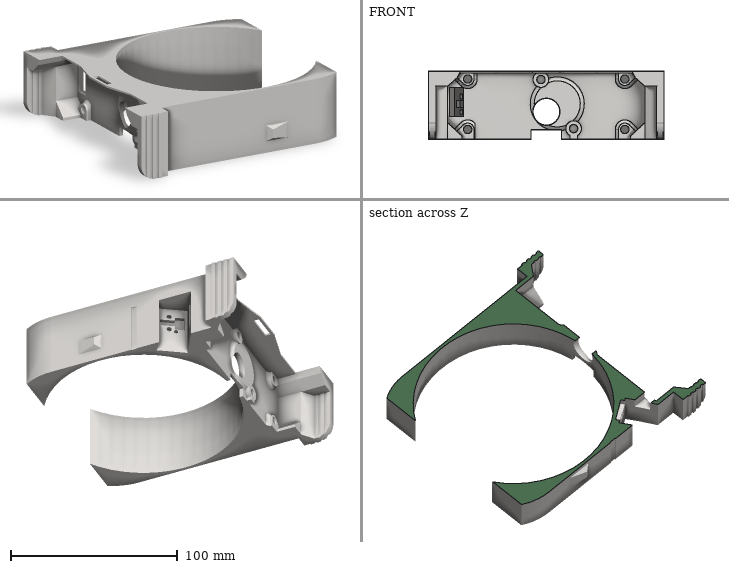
import cadquery as cq
import math


height = 40.9
length = 143.12
body_half_width = 62.0
rear_half_width = 57.0
rear_curve_start_y = 124.8
ring_radius = 60.0
ring_center_y = 92.5

leg_outer_x = 70.0
leg_inner_x = 66.2
leg_back_y = 18.8
leg_slant_end_y = 10.4
leg_tip_radius = 9.8
ridge_height = 0.7
ridge_width = 2.4
ridge_pitch = 4.07
ridge_count = 4
inner_groove_depth = 0.5
inner_groove_count = 2

lip_y = 15.8
recess_back_y = 30.8
lip_thickness = 1.1
lip_underside_z = height - lip_thickness
recess_half_width = 59.1
roof_z = 31.8
roof_bend_x = 53.3
roof_bend_z = 37.0
roof_edge_x = 51.3
floor_rib_x = 50.4
floor_rib_edge_z = 1.8
floor_rib_top_z = 10.0

tongue_y = 10.7
tongue_base_half_width = 30.0
tongue_tip_half_width = 10.0
tongue_slot_width = 16.6
tongue_slot_front_y = 12.4

boss_height = 3.0
slope_height = 1.8
boss_taper = 1.9
corner_boss_x = 47.1
corner_boss_low_z = 5.9
corner_boss_high_z = 36.1
corner_boss_radius = 5.7
corner_boss_run = 5.0
low_left_boss_side_x = -42.7
corner_hole_depth = 8.0
screw_hole_diameter = 5.0
dome_x = 6.6
dome_z = 21.2
dome_radius = 16.2
dome_taper = 2.4
upper_boss_x = -3.2
upper_boss_z = 35.8
lower_boss_x = 16.4
lower_boss_z = 6.4
round_boss_diameter = 9.4
boss_neck_width = 4.6
round_boss_hole_depth = 4.0

shaft_hole_diameter = 16.0
shaft_hole_x = 0.1
shaft_hole_z = 16.5
notch_half_width = 9.0
notch_height = 5.7

pocket_height = 31.1
pocket_rear = (-body_half_width, 53.4)
seat_rear = (-55.0, 57.9)
seat_front = (-44.8, 42.4)
pocket_bend = (-51.5, 38.1)
pocket_front = (-body_half_width, 32.0)
window_left_x = -57.9
window_right_x = -49.7
window_bottom_z = 13.8

seat_recess_depth = 2.5
seat_slot_start = 2.0
seat_slot_bottom_z = 19.0
seat_slot_top_z = 23.1
seat_head_start = 11.0
seat_head_end = 16.8
seat_head_bottom_z = 16.6
seat_head_top_z = 25.3
seat_hole_diameter = 3.1
seat_hole_distance = 7.4
seat_hole_heights = (16.4, 25.6)
seat_hole_depth = 3.0
peg_hole_diameter = 2.5
peg_hole_distance = 11.6
peg_hole_z = 15.0

side_groove_front_y = 68.2
side_groove_rear_y = 71.8
side_groove_depth = 0.4
catch_front_y = 91.3
catch_peak_y = 94.9
catch_rear_y = 106.6
catch_height = 2.6
catch_bottom_z = 7.3
catch_top_z = 17.3
catch_slope_run = 2.3

overlap = 1.0


def box(x0, x1, y0, y1, z0, z1):
    """Box given by its limits along each axis."""
    return cq.Workplane("XY").box(x1 - x0, y1 - y0, z1 - z0, centered=False).translate((x0, y0, z0))


def facing_front(y):
    """Workplane at depth y, seen from the front: local axes are X and Z, normal is -Y."""
    return cq.Workplane("XZ", origin=(0, y, 0))


def mirrored_outline(points):
    """Closed outline from its +X half, followed by its mirror image in reverse order."""
    return points + [(-x, other) for x, other in reversed(points)]


def both_sides(solid):
    return solid.union(solid.mirror("YZ"))


def frame():
    """Solid body behind the lip line, with curved rear corners."""
    corner_drop = body_half_width - rear_half_width
    corner_run = length - rear_curve_start_y
    corner_radius = (corner_drop**2 + corner_run**2) / (2 * corner_drop)
    half_angle = math.asin(corner_run / corner_radius) / 2
    middle_x = body_half_width - corner_radius * (1 - math.cos(half_angle))
    middle_y = rear_curve_start_y + corner_radius * math.sin(half_angle)
    return (
        cq.Workplane("XY")
        .moveTo(-body_half_width, lip_y)
        .lineTo(body_half_width, lip_y)
        .lineTo(body_half_width, rear_curve_start_y)
        .threePointArc((middle_x, middle_y), (rear_half_width, length))
        .lineTo(-rear_half_width, length)
        .threePointArc((-middle_x, middle_y), (-body_half_width, rear_curve_start_y))
        .close()
        .extrude(height)
    )


def ring_opening():
    return cq.Workplane("XY").center(0, ring_center_y).circle(ring_radius).extrude(height)


def leg():
    """Solid +X leg with grip ridges on its outer side and a rounded lower tip."""
    block = box(roof_edge_x, leg_outer_x, 0, leg_back_y, 0, height)
    for index in range(ridge_count):
        start = index * ridge_pitch
        block = block.union(
            box(leg_outer_x - overlap, leg_outer_x + ridge_height, start, start + ridge_width, 0, height)
        )
    side_profile = (
        cq.Workplane("YZ")
        .moveTo(leg_tip_radius, 0)
        .lineTo(leg_back_y, 0)
        .lineTo(leg_back_y, height)
        .lineTo(0, height)
        .lineTo(0, leg_tip_radius)
        .radiusArc((leg_tip_radius, 0), -leg_tip_radius)
        .close()
        .extrude(leg_outer_x + ridge_height)
    )
    return block.intersect(side_profile)


def recess():
    """Space behind the lip, with sloped roof corners and sloped ribs along the floor."""
    outline = mirrored_outline([
        (floor_rib_x, 0),
        (floor_rib_x, floor_rib_edge_z),
        (recess_half_width, floor_rib_top_z),
        (recess_half_width, roof_z),
        (roof_bend_x, roof_bend_z),
        (roof_edge_x, lip_underside_z),
    ])
    return facing_front(recess_back_y).polyline(outline).close().extrude(recess_back_y - lip_y)


def leg_gap():
    """Space between the legs, ahead of the lip, with grooves in the inner leg faces."""
    plan = mirrored_outline([
        (recess_half_width, lip_y),
        (leg_inner_x, leg_slant_end_y),
        (leg_inner_x, 0),
    ])
    lower = cq.Workplane("XY").polyline(plan).close().extrude(roof_z)
    for index in range(inner_groove_count):
        groove_start = index * ridge_pitch + ridge_width
        groove_end = (index + 1) * ridge_pitch
        groove_x = leg_inner_x + inner_groove_depth
        lower = lower.union(box(-groove_x, groove_x, groove_start, groove_end, 0, roof_z))
    roof = mirrored_outline([
        (recess_half_width, roof_z),
        (roof_bend_x, roof_bend_z),
        (roof_edge_x, height),
    ])
    return lower.union(facing_front(lip_y).polyline(roof).close().extrude(lip_y))


def tongue():
    """Tapered tab on the lip with a slot along its root."""
    plan = mirrored_outline([
        (tongue_base_half_width, lip_y),
        (tongue_tip_half_width, tongue_y),
    ])
    tab = cq.Workplane("XY", origin=(0, 0, lip_underside_z)).polyline(plan).close().extrude(lip_thickness)
    half_slot = tongue_slot_width / 2
    return tab.cut(box(-half_slot, half_slot, tongue_slot_front_y, lip_y, lip_underside_z, height))


def corner_boss_outline(plane, radius, z, toward):
    """Rounded outline joined to the floor (toward = -1) or roof (toward = 1) and to the sloped corner."""
    diagonal = radius * math.sqrt(0.5)
    end_x = corner_boss_x + diagonal + corner_boss_run
    end_z = z - toward * (diagonal - corner_boss_run)
    anchor_z = 0 if toward < 0 else height - lip_thickness / 2
    arc_middle_angle = math.radians((180 + 45) / 2)
    middle_x = corner_boss_x + radius * math.cos(arc_middle_angle)
    middle_z = z - toward * radius * math.sin(arc_middle_angle)
    return (
        plane.moveTo(corner_boss_x - radius, anchor_z)
        .lineTo(corner_boss_x - radius, z)
        .threePointArc((middle_x, middle_z), (corner_boss_x + diagonal, z - toward * diagonal))
        .lineTo(end_x, end_z)
        .lineTo(end_x, anchor_z)
        .close()
    )


def corner_boss(z, toward):
    """Boss with a sloped foot and a straight top."""
    top_radius = corner_boss_radius - boss_taper
    base = corner_boss_outline(facing_front(recess_back_y), corner_boss_radius, z, toward)
    slope_plane = base.workplane(offset=slope_height, origin=(0, recess_back_y, 0))
    foot = corner_boss_outline(slope_plane, top_radius, z, toward).loft(ruled=True)
    top = corner_boss_outline(facing_front(recess_back_y), top_radius, z, toward).extrude(boss_height)
    return foot.union(top)


def corner_bosses():
    """Four corner bosses; the slope of the low -X one is cut short on its inner side."""
    pair = corner_boss(corner_boss_low_z, -1).union(corner_boss(corner_boss_high_z, 1))
    trimmed_slope = box(
        low_left_boss_side_x, 0, recess_back_y - boss_height, recess_back_y, 0, height / 2,
    )
    return both_sides(pair).cut(trimmed_slope)


def dome():
    """Low cone-sided disc around the shaft hole."""
    slope_angle = math.degrees(math.atan2(dome_taper, slope_height))
    plane = facing_front(recess_back_y).center(dome_x, dome_z)
    return plane.circle(dome_radius).extrude(slope_height, taper=slope_angle)


def round_bosses():
    """Two straight bosses at the rim of the dome; the lower one stands on a neck."""
    bosses = (
        facing_front(recess_back_y)
        .pushPoints([(upper_boss_x, upper_boss_z), (lower_boss_x, lower_boss_z)])
        .circle(round_boss_diameter / 2)
        .extrude(boss_height)
    )
    half_neck = boss_neck_width / 2
    neck = box(
        lower_boss_x - half_neck, lower_boss_x + half_neck,
        recess_back_y - boss_height, recess_back_y, 0, lower_boss_z,
    )
    return bosses.union(neck)


def screw_holes(points, depth):
    plane = facing_front(recess_back_y - boss_height)
    return plane.pushPoints(points).circle(screw_hole_diameter / 2).extrude(-depth)


def shaft_hole():
    start_y = recess_back_y - boss_height
    plane = facing_front(start_y).center(shaft_hole_x, shaft_hole_z)
    return plane.circle(shaft_hole_diameter / 2).extrude(start_y - ring_center_y)


def notch():
    start_y = recess_back_y - boss_height
    return box(-notch_half_width, notch_half_width, start_y, ring_center_y, 0, notch_height)


def switch_pocket():
    """Pocket open to the side and below, its seat and the window into the recess."""
    plan = [pocket_rear, seat_rear, seat_front, pocket_bend, pocket_front]
    pocket = cq.Workplane("XY").polyline(plan).close().extrude(pocket_height)
    window = box(
        window_left_x, window_right_x, recess_back_y - overlap, seat_front[1],
        window_bottom_z, pocket_height,
    )

    seat_run_x = seat_front[0] - seat_rear[0]
    seat_run_y = seat_front[1] - seat_rear[1]
    seat_plane = cq.Workplane(cq.Plane(
        origin=(seat_rear[0], seat_rear[1], 0),
        xDir=(seat_run_x, seat_run_y, 0),
        normal=(seat_run_y, -seat_run_x, 0),
    ))
    seat_recess = (
        seat_plane.moveTo(seat_slot_start, seat_slot_bottom_z)
        .lineTo(seat_head_start, seat_slot_bottom_z)
        .lineTo(seat_head_start, seat_head_bottom_z)
        .lineTo(seat_head_end, seat_head_bottom_z)
        .lineTo(seat_head_end, seat_head_top_z)
        .lineTo(seat_head_start, seat_head_top_z)
        .lineTo(seat_head_start, seat_slot_top_z)
        .lineTo(seat_slot_start, seat_slot_top_z)
        .close()
        .extrude(-seat_recess_depth)
    )
    hole_points = [(seat_hole_distance, z) for z in seat_hole_heights]
    holes = seat_plane.pushPoints(hole_points).circle(seat_hole_diameter / 2).extrude(-seat_hole_depth)
    peg_hole = (
        seat_plane.pushPoints([(peg_hole_distance, peg_hole_z)])
        .circle(peg_hole_diameter / 2)
        .extrude(-seat_recess_depth)
    )
    return pocket.union(window).union(seat_recess).union(holes).union(peg_hole)


def side_groove():
    """Shallow groove in the -X side."""
    return box(
        -body_half_width, side_groove_depth - body_half_width,
        side_groove_front_y, side_groove_rear_y, 0, pocket_height,
    )


def side_catch():
    """Wedge on the +X side with sloped ends, top and bottom."""
    peak_x = body_half_width + catch_height
    plan = (
        cq.Workplane("XY")
        .polyline([
            (body_half_width, catch_front_y),
            (peak_x, catch_peak_y),
            (body_half_width, catch_rear_y),
        ])
        .close()
        .extrude(height)
    )
    section = (
        facing_front(catch_rear_y)
        .polyline([
            (body_half_width, catch_bottom_z),
            (peak_x, catch_bottom_z + catch_slope_run),
            (peak_x, catch_top_z - catch_slope_run),
            (body_half_width, catch_top_z),
        ])
        .close()
        .extrude(catch_rear_y - catch_front_y)
    )
    return plan.intersect(section)


def part():
    body = frame().union(both_sides(leg()))
    body = body.cut(recess()).cut(leg_gap()).cut(ring_opening())
    body = body.union(tongue()).union(both_sides(side_catch()))

    body = body.union(corner_bosses()).union(dome()).union(round_bosses())
    corner_points = [
        (x, z)
        for x in (-corner_boss_x, corner_boss_x)
        for z in (corner_boss_low_z, corner_boss_high_z)
    ]
    round_points = [(upper_boss_x, upper_boss_z), (lower_boss_x, lower_boss_z)]
    body = body.cut(screw_holes(corner_points, corner_hole_depth))
    body = body.cut(screw_holes(round_points, round_boss_hole_depth))

    body = body.cut(shaft_hole()).cut(notch())
    return body.cut(switch_pocket()).cut(side_groove())


result = part()